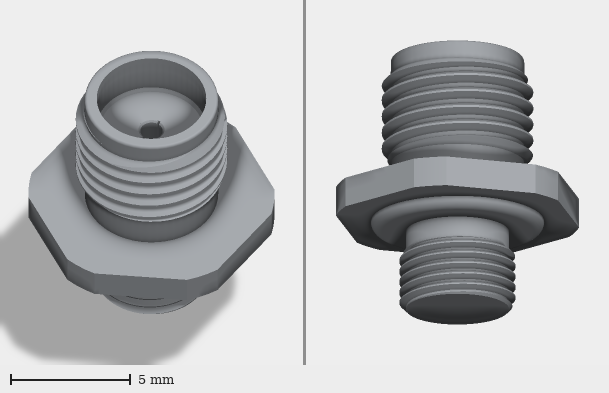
import cadquery as cq
import math

total_height = 10.92
collar_bottom = 3.39
flange_bottom = 3.83
flange_top = 5.09
lower_thread_top = 2.54
upper_thread_bottom = 6.37
upper_thread_top = 10.16

flange_across_flats = 9.52
flange_corner_diameter = 10.29
collar_diameter = 7.25

upper_core_diameter = 5.58
upper_thread_diameter = 6.33
upper_thread_pitch = 0.7
upper_crest_height = 9.57
rim_fillet = 0.12
lower_core_diameter = 4.31
lower_thread_diameter = 4.86
lower_thread_pitch = 0.46
lower_crest_height = 1.47
thread_half_angle = math.radians(30)
crest_share = 1 / 8
root_overlap = 0.03

socket_diameter = 4.58
socket_floor_diameter = 4.31
socket_depth = 1.91
socket_cone_height = (socket_diameter - socket_floor_diameter) / 2
socket_floor = total_height - socket_depth

contact_diameter = 1.19
contact_bore_diameter = 0.94
contact_mouth_diameter = 1.09
contact_bore_depth = 2.51
contact_slot_width = 0.1
contact_slot_depth = 1.64


def make_cylinder(diameter, bottom, top):
    return cq.Workplane("XY").workplane(offset=bottom).circle(diameter / 2).extrude(top - bottom)


def make_thread(core_diameter, outer_diameter, pitch, crest_height, bottom, top):
    """Right-hand V thread, ended by a 45 degree cone at the bottom and at the top."""
    core_radius = core_diameter / 2
    outer_radius = outer_diameter / 2
    tooth_depth = outer_radius - core_radius
    root_radius = core_radius - root_overlap
    half_crest = pitch * crest_share / 2
    half_root = half_crest + (outer_radius - root_radius) * math.tan(thread_half_angle)

    turns_below = math.ceil((crest_height - bottom + half_root) / pitch)
    start = crest_height - turns_below * pitch
    turns_total = math.ceil((top + half_root - start) / pitch)
    helix = cq.Wire.makeHelix(
        pitch, turns_total * pitch, root_radius, center=cq.Vector(0, 0, start)
    )
    ridge = (
        cq.Workplane("XZ")
        .moveTo(root_radius, start - half_root)
        .lineTo(outer_radius, start - half_crest)
        .lineTo(outer_radius, start + half_crest)
        .lineTo(root_radius, start + half_root)
        .close()
        .sweep(cq.Workplane(obj=helix), isFrenet=True)
        .rotate((0, 0, 0), (0, 0, 1), 180)
    )
    clip_radius = outer_radius + tooth_depth
    envelope = (
        cq.Workplane("XZ")
        .moveTo(0, bottom)
        .lineTo(core_radius, bottom)
        .lineTo(clip_radius, bottom + clip_radius - core_radius)
        .lineTo(clip_radius, top - clip_radius + core_radius)
        .lineTo(core_radius, top)
        .lineTo(0, top)
        .close()
        .revolve(360, (0, 0, 0), (0, 1, 0))
    )
    return ridge.intersect(envelope)


def make_flange():
    thickness = flange_top - flange_bottom
    across_corners = flange_across_flats / math.cos(math.pi / 6)
    hexagon = (
        cq.Workplane("XY")
        .workplane(offset=flange_bottom)
        .polygon(6, across_corners)
        .extrude(thickness)
        .rotate((0, 0, 0), (0, 0, 1), 30)
    )
    return hexagon.intersect(make_cylinder(flange_corner_diameter, flange_bottom, flange_top))


def make_collar():
    """Disc under the flange whose whole edge is a quarter round."""
    radius = collar_diameter / 2
    height = flange_bottom - collar_bottom
    return (
        cq.Workplane("XZ")
        .moveTo(0, flange_bottom)
        .lineTo(radius, flange_bottom)
        .radiusArc((radius - height, collar_bottom), height)
        .lineTo(0, collar_bottom)
        .close()
        .revolve(360, (0, 0, 0), (0, 1, 0))
    )


def make_socket():
    cone_top = socket_floor + socket_cone_height
    return (
        cq.Workplane("XZ")
        .moveTo(0, socket_floor)
        .lineTo(socket_floor_diameter / 2, socket_floor)
        .lineTo(socket_diameter / 2, cone_top)
        .lineTo(socket_diameter / 2, total_height)
        .lineTo(0, total_height)
        .close()
        .revolve(360, (0, 0, 0), (0, 1, 0))
    )


def make_housing():
    upper_barrel = make_cylinder(upper_core_diameter, flange_top, total_height)
    upper_barrel = upper_barrel.faces(">Z").edges().fillet(rim_fillet)
    upper_thread = make_thread(
        upper_core_diameter,
        upper_thread_diameter,
        upper_thread_pitch,
        upper_crest_height,
        upper_thread_bottom,
        upper_thread_top,
    )
    lower_barrel = make_cylinder(lower_core_diameter, 0, collar_bottom)
    lower_thread = make_thread(
        lower_core_diameter,
        lower_thread_diameter,
        lower_thread_pitch,
        lower_crest_height,
        0,
        lower_thread_top,
    )
    upper_part = upper_barrel.union(upper_thread)
    lower_part = lower_barrel.union(lower_thread)
    body = make_flange().union(make_collar()).union(upper_part).union(lower_part)
    return body.cut(make_socket()).cut(make_cylinder(contact_diameter, 0, socket_floor))


def make_contact():
    bore_bottom = socket_floor - contact_bore_depth
    mouth_chamfer = (contact_mouth_diameter - contact_bore_diameter) / 2
    sleeve = make_cylinder(contact_diameter, 0, socket_floor)
    sleeve = sleeve.cut(make_cylinder(contact_bore_diameter, bore_bottom, socket_floor))
    sleeve = sleeve.faces(">Z").edges("%CIRCLE").edges(cq.selectors.RadiusNthSelector(0))
    sleeve = sleeve.chamfer(mouth_chamfer)
    slot = (
        cq.Workplane("XY")
        .workplane(offset=socket_floor - contact_slot_depth)
        .rect(contact_slot_width, contact_diameter)
        .extrude(contact_slot_depth)
    )
    return sleeve.cut(slot)


housing = make_housing()
contact = make_contact()
result = cq.Compound.makeCompound([housing.val(), contact.val()])